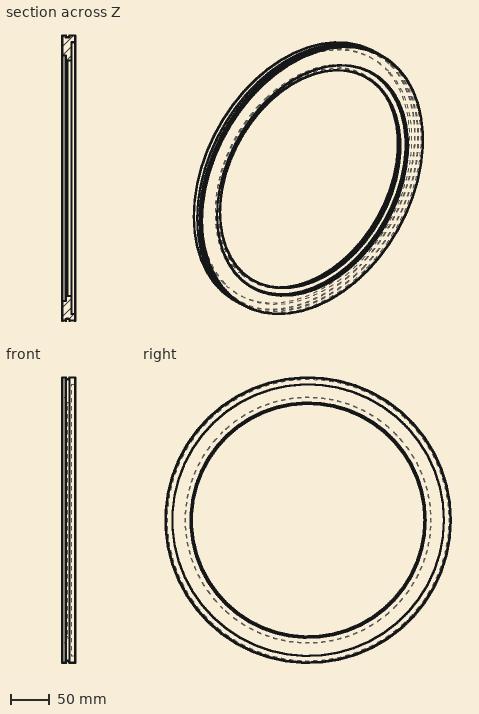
import cadquery as cq

outer_diameter = 370.0
bore_diameter = 301.0
thickness = 17.0

recess_diameter = 318.0
recess_depth = 4.5
edge_chamfer = 0.55

back_recess_diameter = 352.0
back_recess_depth = 4.8

step_diameter = 305.0
step_length = 5.0

groove_floor_diameter = 365.0
groove_width = 4.8
groove_center = 7.0

front_face = -thickness / 2
back_face = thickness / 2


def disc(diameter, start, length):
    """Solid disc centred on the X axis, from start towards +X."""
    return cq.Workplane("YZ", origin=(start, 0, 0)).circle(diameter / 2).extrude(length)


def rim_groove():
    """Ring of material removed by the arc-shaped groove in the rim."""
    rim_radius = outer_diameter / 2
    overshoot_radius = rim_radius + groove_width
    center = front_face + groove_center
    left = center - groove_width / 2
    right = center + groove_width / 2
    return (
        cq.Workplane("XY")
        .moveTo(left, overshoot_radius)
        .lineTo(left, rim_radius)
        .threePointArc((center, groove_floor_diameter / 2), (right, rim_radius))
        .lineTo(right, overshoot_radius)
        .close()
        .revolve(360, (0, 0, 0), (1, 0, 0))
    )


ring = disc(outer_diameter, front_face, thickness).edges("%CIRCLE").chamfer(edge_chamfer)
ring = ring.cut(disc(bore_diameter, front_face, thickness))

ring = ring.cut(disc(recess_diameter, front_face, recess_depth))
mouth_diameter = recess_diameter + 2 * edge_chamfer
mouth = (
    cq.Workplane("YZ", origin=(front_face, 0, 0))
    .circle(mouth_diameter / 2)
    .extrude(edge_chamfer, taper=45)
)
ring = ring.cut(mouth)

back_recess_floor = back_face - back_recess_depth
ring = ring.cut(disc(back_recess_diameter, back_recess_floor, back_recess_depth))
ring = ring.cut(disc(step_diameter, back_recess_floor - step_length, step_length))

result = ring.cut(rim_groove())